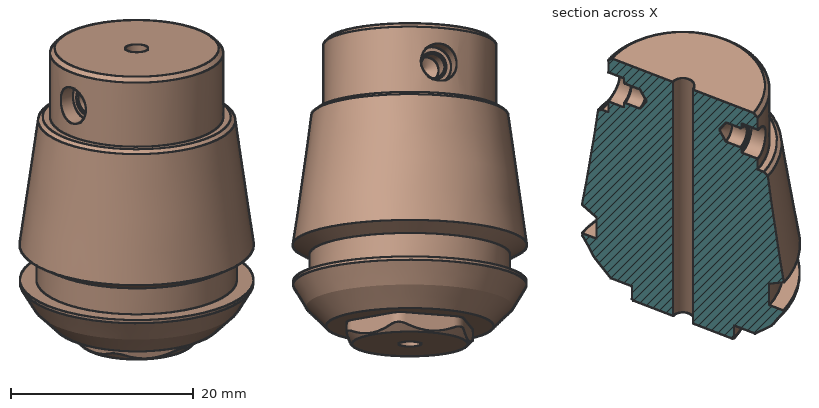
import cadquery as cq
import math

total_height = 34.0
hex_height = 2.0
rim_bottom = 6.63
rim_top = 7.0
groove_top = 10.03
body_widest = 11.1
shoulder_height = 26.0

base_radius = 9.18
flare_break_radius = 11.32
rim_radius = 12.8
groove_radius = 22.0 / 2
body_radius = 12.85
body_top_radius = 10.8
neck_radius = 19.0 / 2
edge_chamfer = 0.5
shoulder_chamfer_height = 0.37

flare_break = hex_height + flare_break_radius - base_radius

hex_across_flats = 13.0
hex_corner_round = 1.6
hex_tip_radius = 6.32

bore_diameter = 2.5
side_hole_height = 29.65
counterbore_radius = 4.15 / 2
counterbore_depth = 2.0
pilot_radius = 1.35
pilot_chamfer = 0.17
pilot_depth = 2.05
drill_half_angle = 59.0


def make_body():
    """Revolve the turned profile about Z."""
    profile = [
        (0, hex_height),
        (base_radius, hex_height),
        (flare_break_radius, flare_break),
        (rim_radius, rim_bottom),
        (rim_radius, rim_top),
        (groove_radius, rim_top),
        (groove_radius, groove_top),
        (body_radius, body_widest),
        (body_top_radius, shoulder_height - shoulder_chamfer_height),
        (body_top_radius - edge_chamfer, shoulder_height),
        (neck_radius, shoulder_height),
        (neck_radius, total_height - edge_chamfer),
        (neck_radius - edge_chamfer, total_height),
        (0, total_height),
    ]
    return cq.Workplane("XZ").polyline(profile).close().revolve(360, (0, 0), (0, 1))


def make_hexagon():
    """Rounded hexagon with its flats facing -Y and +Y, trimmed by a 45 degree cone."""
    across_corners = hex_across_flats / math.cos(math.radians(30))
    hexagon = (
        cq.Workplane("XY")
        .polygon(6, across_corners)
        .extrude(hex_height)
        .edges("|Z")
        .fillet(hex_corner_round)
    )
    cone = (
        cq.Workplane("XZ")
        .polyline([(0, 0), (hex_tip_radius, 0), (hex_tip_radius + hex_height, hex_height), (0, hex_height)])
        .close()
        .revolve(360, (0, 0), (0, 1))
    )
    return hexagon.intersect(cone)


def make_side_hole():
    """Cutter for the -Y side: counterbore, chamfered pilot hole and drill point."""
    floor = counterbore_depth - neck_radius
    pilot_end = floor + pilot_depth
    tip = pilot_end + pilot_radius / math.tan(math.radians(drill_half_angle))
    profile = [
        (0, -neck_radius),
        (counterbore_radius, -neck_radius),
        (counterbore_radius, floor),
        (pilot_radius + pilot_chamfer, floor),
        (pilot_radius, floor + pilot_chamfer),
        (pilot_radius, pilot_end),
        (0, tip),
    ]
    cutter = cq.Workplane("XY").polyline(profile).close().revolve(360, (0, 0), (0, 1))
    return cutter.translate((0, 0, side_hole_height))


bore = cq.Workplane("XY").circle(bore_diameter / 2).extrude(total_height)
side_hole = make_side_hole()

result = make_body().union(make_hexagon()).cut(bore)
for angle in (0, 180):
    result = result.cut(side_hole.rotate((0, 0, 0), (0, 0, 1), angle))